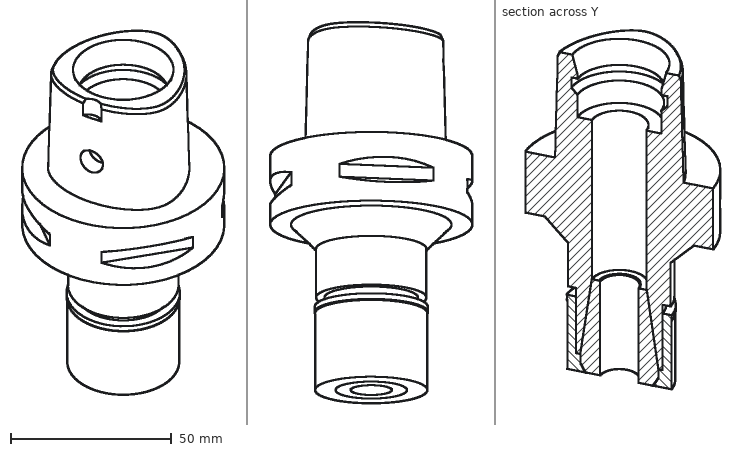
import cadquery as cq
import math


shank_height = 38.0
shank_mean_radius = 22.0
lobe_height = 1.41
shank_taper = 1 / 40
shank_chamfer_height = 1.6
shank_chamfer_width = 0.65

flange_radius = 31.5
flange_height = 22.0
cone_top_radius = 25.0
collar_radius = 17.2
cone_height = cone_top_radius - collar_radius
collar_bottom = -45.4
nose_radius = 14.6

groove_count = 4
groove_first_angle = 45.0
groove_z = -11.9
groove_floor_distance = 27.8
groove_floor_width = 4.1
groove_wall_angle = 28.0

bore_radius = 14.0
bore_mouth_radius = 15.65
bore_mouth_depth = 6.5
clamp_groove_radius = 16.0
clamp_groove_top = 8.4
clamp_groove_cone_top = 11.9
clamp_groove_bottom = 14.0
bore_depth = 22.0
through_bore_radius = 9.1

notch_radius = 4.3
notch_back_y = -18.0
notch_depth = 6.1
side_hole_radius = 4.0
side_hole_z = 15.5
side_hole_floor_y = -14.4

nut_top = -48.3
nut_bottom = -75.0
nut_radius = 17.5
nut_rim_radius = 17.65
nut_rim_height = 1.8
nut_rim_step_height = 0.3

collet_length = 34.0
collet_top = nut_bottom + collet_length
collet_small_radius = through_bore_radius
collet_large_radius = 13.0
collet_half_angle = 8.0
collet_band_height = 3.0
collet_front_angle = 30.0
collet_bore_radius = 6.4
collet_bore_chamfer = 0.3
collet_taper_length = (collet_large_radius - collet_small_radius) / math.tan(math.radians(collet_half_angle))
nose_bottom = collet_top - collet_taper_length
collet_band_bottom = nose_bottom - collet_band_height
collet_front_height = collet_band_bottom - nut_bottom
collet_front_radius = collet_large_radius - collet_front_height * math.tan(math.radians(collet_front_angle))


def revolve_profile(points):
    """Turn a closed (radius, z) profile about the Z axis."""
    return cq.Workplane("XZ").polyline(points).close().revolve(360, (0, 0), (0, 1))


def lobed_section(z, mean_radius):
    """Closed three-lobed outline at height z, starting in the middle of the -Y flat."""

    def outline_point(turn):
        angle = 2 * math.pi * turn
        reach = mean_radius - lobe_height * math.cos(3 * angle)
        slide = 3 * lobe_height * math.sin(3 * angle)
        x = reach * math.sin(angle) + slide * math.cos(angle)
        y = -reach * math.cos(angle) + slide * math.sin(angle)
        return cq.Vector(x, y, z)

    steps = 48
    points = [outline_point(step / steps) for step in range(steps)]
    return cq.Wire.assembleEdges([cq.Edge.makeSpline(points, periodic=True)])


def make_shank():
    chamfer_z = shank_height - shank_chamfer_height
    chamfer_mean_radius = shank_mean_radius - chamfer_z * shank_taper
    base = lobed_section(0, shank_mean_radius)
    shoulder = lobed_section(chamfer_z, chamfer_mean_radius)
    end = lobed_section(shank_height, chamfer_mean_radius - shank_chamfer_width)
    taper = cq.Workplane(cq.Solid.makeLoft([base, shoulder], True))
    chamfer = cq.Workplane(cq.Solid.makeLoft([shoulder, end], True))
    return taper.union(chamfer)


def make_gripper_groove(angle):
    """Straight groove across the flange rim, with a flat floor and sloping walls."""
    cut_depth = flange_radius - groove_floor_distance
    half_floor = groove_floor_width / 2
    half_mouth = half_floor + cut_depth * math.tan(math.radians(groove_wall_angle))
    section = [
        (groove_floor_distance, groove_z - half_floor),
        (flange_radius, groove_z - half_mouth),
        (flange_radius, groove_z + half_mouth),
        (groove_floor_distance, groove_z + half_floor),
    ]
    groove = cq.Workplane("XZ").polyline(section).close().extrude(flange_radius, both=True)
    return groove.rotate((0, 0, 0), (0, 0, 1), angle)


def make_holder_bore():
    """Shank bore with lead-in cone and clamping groove, through bore and collet seat."""
    return revolve_profile([
        (0, shank_height),
        (bore_mouth_radius, shank_height),
        (bore_radius, shank_height - bore_mouth_depth),
        (bore_radius, shank_height - clamp_groove_top),
        (clamp_groove_radius, shank_height - clamp_groove_top),
        (clamp_groove_radius, shank_height - clamp_groove_cone_top),
        (bore_radius, shank_height - clamp_groove_bottom),
        (bore_radius, shank_height - bore_depth),
        (through_bore_radius, shank_height - bore_depth),
        (through_bore_radius, collet_top),
        (collet_large_radius, nose_bottom),
        (0, nose_bottom),
    ])


def make_key_notch():
    notch = cq.Workplane("XY", origin=(0, notch_back_y - notch_radius, shank_height - notch_depth))
    return notch.circle(notch_radius).extrude(notch_depth)


def make_side_hole():
    hole = cq.Workplane("XZ", origin=(0, side_hole_floor_y, side_hole_z))
    return hole.circle(side_hole_radius).extrude(shank_mean_radius + side_hole_floor_y)


def make_holder():
    body = revolve_profile([
        (0, 0),
        (flange_radius, 0),
        (flange_radius, -flange_height),
        (cone_top_radius, -flange_height),
        (collar_radius, -flange_height - cone_height),
        (collar_radius, collar_bottom),
        (nose_radius, collar_bottom),
        (nose_radius, nose_bottom),
        (0, nose_bottom),
    ])
    body = body.union(make_shank())
    for index in range(groove_count):
        body = body.cut(make_gripper_groove(groove_first_angle + index * 360 / groove_count))
    return body.cut(make_holder_bore()).cut(make_key_notch()).cut(make_side_hole())


def make_nut():
    """Nut with a slightly wider rim, fitting over the nose and the front of the collet."""
    rim_bottom = nut_top - nut_rim_height
    return revolve_profile([
        (nose_radius, nut_top),
        (nut_rim_radius, nut_top),
        (nut_rim_radius, rim_bottom),
        (nut_radius, rim_bottom - nut_rim_step_height),
        (nut_radius, nut_bottom),
        (collet_front_radius, nut_bottom),
        (collet_large_radius, collet_band_bottom),
        (collet_large_radius, nose_bottom),
        (nose_radius, nose_bottom),
    ])


def make_collet():
    return revolve_profile([
        (collet_bore_radius + collet_bore_chamfer, collet_top),
        (collet_small_radius, collet_top),
        (collet_large_radius, nose_bottom),
        (collet_large_radius, collet_band_bottom),
        (collet_front_radius, nut_bottom),
        (collet_bore_radius, nut_bottom),
        (collet_bore_radius, collet_top - collet_bore_chamfer),
    ])


holder = make_holder()
nut = make_nut()
collet = make_collet()

result = cq.Compound.makeCompound([holder.val(), nut.val(), collet.val()])